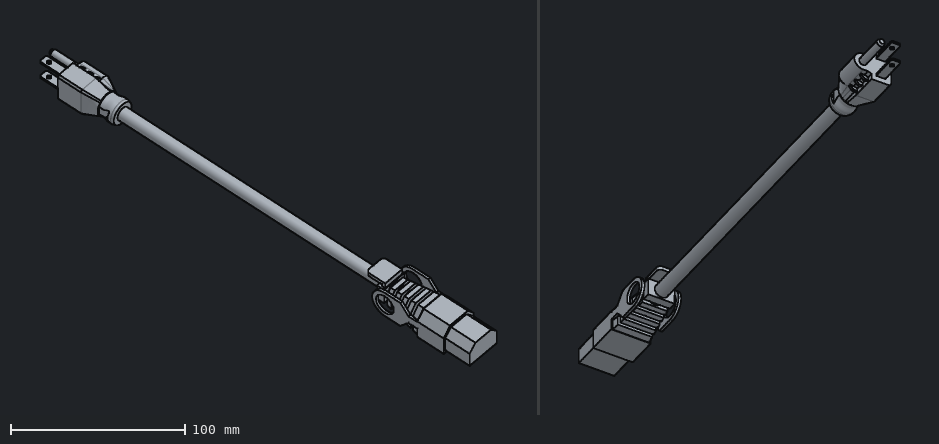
import cadquery as cq
import math


plug_face_x = 21.5
plug_back_x = 39.2
neck_start_x = 51.0
plug_end_x = 63.0

plug_half_height = 10.5
plug_bottom_y = -9.5
plug_shoulder_y = 3.7
bevel_y = 1.0
bevel_z = 1.7
shoulder_drop_z = 6.8
slope_end_y = 6.0
nose_radius = 5.7
nose_y = 9.5

grip_fin_thickness = 1.7
grip_fin_pitch = 6.0
first_grip_fin_x = 26.5
grip_fin_count = 3
grip_fin_top_z = 8.5
grip_fin_end_y = 8.5

taper_end_radius = 8.5
neck_radius = 7.8
flare_start_x = 55.0
collar_start_x = 57.8
collar_rim_x = 60.8
collar_radius = 8.5
neck_flat_y = 7.0
neck_flat_end_x = 58.8

ground_pin_radius = 2.55
ground_pin_tip_length = 1.7
ground_pin_tip_inset = 0.85
blade_tip_x = 4.0
blade_y = -2.5
blade_spacing = 12.5
blade_width = 6.0
blade_thickness = 1.5
blade_tip_chamfer = 0.7
blade_hole_x = 8.8
blade_hole_diameter = 2.7

cable_diameter = 9.0

connector_end_x = 338
housing_start_x = 299.0
inlet_start_x = 319.5
entry_x = 264.5

housing_half_width = 13.2
housing_half_height = 9.8
housing_top_half_width = 7.8
housing_chamfer_z = 3.5
inlet_half_width = 11.8
inlet_half_height = 7.8
inlet_top_half_width = 6.8
inlet_chamfer_z = 2.55

relief_start_x = 270.0
relief_start_half_width = 8.0
relief_start_half_height = 6.0
relief_start_top_half_width = 5.5
relief_start_chamfer_z = 2.5
relief_end_half_width = 12.0
relief_end_half_height = 9.5
relief_end_top_half_width = 7.0
relief_end_chamfer_z = 3.0
relief_core_radius = 5.0
first_groove_x = 271.0
last_groove_x = 293.5
groove_width = 2.0
groove_count = 5
groove_pitch = (last_groove_x - first_groove_x) / (groove_count - 1)

entry_half_width = 8.8
entry_half_height = 5.7

disc_x = 274.5
disc_radius = housing_half_height
disc_hole_radius = 6.8
arm_thickness = 1.85
arm_shoulder_x = 286.2
arm_neck_x = 292.3
arm_neck_half_height = 2.87

thumb_plate_start_x = 255.0
thumb_plate_end_x = 269.7
thumb_plate_half_width = 7.5
thumb_plate_thickness = 2.7
thumb_plate_corner_radius = 2.7
thumb_post_length = 2.7


def box_between(x_range, y_range, z_range):
    """Box given by its lowest and highest coordinate along each axis."""
    sizes = [high - low for low, high in (x_range, y_range, z_range)]
    corner = (x_range[0], y_range[0], z_range[0])
    return cq.Workplane("XY").box(*sizes, centered=False).translate(corner)


def rod(start_x, end_x, radius, y=0):
    """Cylinder along X."""
    return cq.Workplane("YZ", origin=(start_x, y, 0)).circle(radius).extrude(end_x - start_x)


def plug_half_outline():
    """Corners of the plug section on its +Z half, from the flat side to the nose."""
    return [
        (plug_bottom_y, plug_half_height - bevel_z),
        (plug_bottom_y + bevel_y, plug_half_height),
        (plug_shoulder_y, plug_half_height),
        (plug_shoulder_y, shoulder_drop_z),
        (slope_end_y, nose_radius),
        (nose_y, nose_radius),
    ]


def plug_section(x):
    """Plug section: wide on the blade side, a round nose around the ground pin."""
    upper = plug_half_outline()
    lower = [(y, -z) for y, z in reversed(upper)]
    section = cq.Workplane("YZ", origin=(x, 0, 0)).polyline(upper)
    section = section.threePointArc((nose_y + nose_radius, 0), lower[0])
    for point in lower[1:]:
        section = section.lineTo(*point)
    return section.close().wire().val()


def taper_end_section(x):
    """Circle cut into one arc for each edge of the plug section."""
    upper_angles = [math.atan2(z, y) for y, z in plug_half_outline()]
    angles = upper_angles + [-angle for angle in reversed(upper_angles)]
    angles.append(upper_angles[0] - 2 * math.pi)

    def on_circle(angle):
        return (taper_end_radius * math.cos(angle), taper_end_radius * math.sin(angle))

    section = cq.Workplane("YZ", origin=(x, 0, 0)).moveTo(*on_circle(angles[0]))
    for start, end in zip(angles, angles[1:]):
        section = section.threePointArc(on_circle((start + end) / 2), on_circle(end))
    return section.wire().val()


def grip_fins():
    """Fins that bridge the step between the wide half and the nose, above and below."""
    fins = []
    for index in range(grip_fin_count):
        fin_x = first_grip_fin_x + index * grip_fin_pitch - grip_fin_thickness / 2
        fin = (
            cq.Workplane("YZ", origin=(fin_x, 0, 0))
            .polyline([
                (plug_shoulder_y, -grip_fin_top_z),
                (plug_shoulder_y, grip_fin_top_z),
                (slope_end_y, grip_fin_top_z),
                (grip_fin_end_y, nose_radius),
                (grip_fin_end_y, -nose_radius),
                (slope_end_y, -grip_fin_top_z),
            ])
            .close()
            .extrude(grip_fin_thickness)
        )
        fins.append(fin)
    return fins


def plug_neck():
    """Round neck with two side flats and a flared collar where the cable leaves."""
    along_cable = (1, 0)
    flare = [
        (flare_start_x, neck_radius),
        (collar_start_x, collar_radius),
        (collar_rim_x, collar_radius),
    ]
    neck = (
        cq.Workplane("XY")
        .moveTo(neck_start_x, 0)
        .lineTo(neck_start_x, neck_radius)
        .spline(flare, [along_cable, along_cable], includeCurrent=True)
        .lineTo(plug_end_x, neck_radius)
        .lineTo(plug_end_x, 0)
        .close()
        .revolve(360, (0, 0, 0), (1, 0, 0))
    )
    flat_x = (neck_start_x, neck_flat_end_x)
    flat_z = (-collar_radius, collar_radius)
    for flat_y in ((-collar_radius, -neck_flat_y), (neck_flat_y, collar_radius)):
        neck = neck.cut(box_between(flat_x, flat_y, flat_z))
    return neck


def blade(z):
    """Flat prong with a round hole and chamfered tip corners."""
    half_width = blade_width / 2
    flat = box_between(
        (blade_tip_x, plug_face_x),
        (blade_y - half_width, blade_y + half_width),
        (z - blade_thickness / 2, z + blade_thickness / 2),
    )
    hole = (
        cq.Workplane("XY", origin=(blade_hole_x, blade_y, z - blade_thickness))
        .circle(blade_hole_diameter / 2)
        .extrude(2 * blade_thickness)
    )
    return flat.edges("|Z and <X").chamfer(blade_tip_chamfer).cut(hole)


def ground_pin():
    """Round prong with a conical tip."""
    pin = rod(0, plug_face_x, ground_pin_radius, nose_y)
    return pin.faces("<X").chamfer(ground_pin_tip_length, ground_pin_tip_inset)


def build_plug():
    grip_wire = plug_section(plug_face_x)
    grip_length = cq.Vector(plug_back_x - plug_face_x, 0, 0)
    body = cq.Workplane(cq.Solid.extrudeLinear(grip_wire, [], grip_length))
    taper = cq.Solid.makeLoft([plug_section(plug_back_x), taper_end_section(neck_start_x)], True)
    body = body.union(cq.Workplane(taper)).union(plug_neck())
    for fin in grip_fins():
        body = body.union(fin)
    for side in (-1, 1):
        body = body.union(blade(side * blade_spacing / 2))
    return body.union(ground_pin())


def build_cable():
    return rod(plug_end_x, entry_x, cable_diameter / 2)


def inlet_section(half_width, half_height, top_half_width, chamfer_z):
    """Corners of a rectangle whose two upper corners are cut off."""
    return [
        (-half_width, -half_height),
        (half_width, -half_height),
        (half_width, chamfer_z),
        (top_half_width, half_height),
        (-top_half_width, half_height),
        (-half_width, chamfer_z),
    ]


def section_wire(x, corners):
    return cq.Workplane("YZ", origin=(x, 0, 0)).polyline(corners).close()


def housing():
    """Wide housing and the narrower part in front of it."""
    wide = inlet_section(
        housing_half_width, housing_half_height, housing_top_half_width, housing_chamfer_z
    )
    narrow = inlet_section(
        inlet_half_width, inlet_half_height, inlet_top_half_width, inlet_chamfer_z
    )
    block = section_wire(housing_start_x, wide).extrude(inlet_start_x - housing_start_x)
    return block.union(section_wire(inlet_start_x, narrow).extrude(connector_end_x - inlet_start_x))


def strain_relief():
    """Tapered body cut by grooves down to a round core."""
    small = inlet_section(
        relief_start_half_width,
        relief_start_half_height,
        relief_start_top_half_width,
        relief_start_chamfer_z,
    )
    large = inlet_section(
        relief_end_half_width,
        relief_end_half_height,
        relief_end_top_half_width,
        relief_end_chamfer_z,
    )
    ends = [
        section_wire(relief_start_x, small).wire().val(),
        section_wire(housing_start_x, large).wire().val(),
    ]
    body = cq.Workplane(cq.Solid.makeLoft(ends, True))
    for index in range(groove_count):
        start_x = first_groove_x + index * groove_pitch - groove_width / 2
        groove = (
            cq.Workplane("YZ", origin=(start_x, 0, 0))
            .rect(2 * housing_half_width, 2 * housing_half_height)
            .circle(relief_core_radius)
            .extrude(groove_width)
        )
        body = body.cut(groove)
    return body


def cable_entry():
    """Block that takes the cable, with a thumb plate standing above it on a post."""
    block = box_between(
        (entry_x, relief_start_x),
        (-entry_half_width, entry_half_width),
        (-entry_half_height, entry_half_height),
    )
    plate_bottom_z = housing_half_height - thumb_plate_thickness
    plate_y = (-thumb_plate_half_width, thumb_plate_half_width)
    plate = box_between(
        (thumb_plate_start_x, thumb_plate_end_x), plate_y, (plate_bottom_z, housing_half_height)
    )
    plate = plate.edges("|Z and <X").fillet(thumb_plate_corner_radius)
    post = box_between(
        (thumb_plate_end_x - thumb_post_length, thumb_plate_end_x), plate_y, (0, plate_bottom_z)
    )
    return block.union(post).union(plate)


def side_arm(inner_y):
    """Upright arm that ends in a pierced disc; it leads back to the housing."""
    return (
        cq.Workplane("XZ", origin=(0, inner_y + arm_thickness, 0))
        .moveTo(disc_x, disc_radius)
        .lineTo(arm_shoulder_x, disc_radius)
        .lineTo(arm_neck_x, arm_neck_half_height)
        .lineTo(housing_start_x, arm_neck_half_height)
        .lineTo(housing_start_x, -arm_neck_half_height)
        .lineTo(arm_neck_x, -arm_neck_half_height)
        .lineTo(arm_shoulder_x, -disc_radius)
        .lineTo(disc_x, -disc_radius)
        .threePointArc((disc_x - disc_radius, 0), (disc_x, disc_radius))
        .close()
        .moveTo(disc_x, 0)
        .circle(disc_hole_radius)
        .extrude(arm_thickness)
    )


def build_connector():
    body = housing().union(strain_relief()).union(cable_entry())
    for inner_y in (-housing_half_width, housing_half_width - arm_thickness):
        body = body.union(side_arm(inner_y))
    return body


plug = build_plug()
cable = build_cable()
connector = build_connector()

result = cq.Compound.makeCompound([plug.val(), cable.val(), connector.val()])